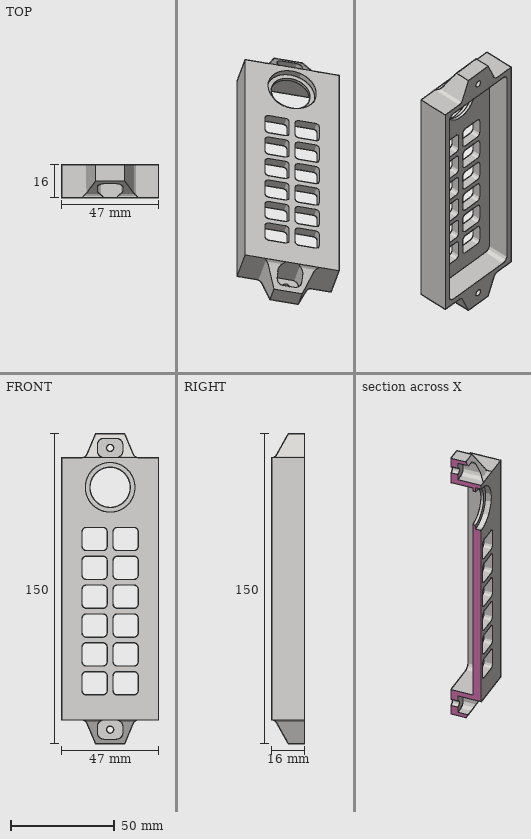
import cadquery as cq

total_height = 150.0
body_width = 47.0
body_depth = 16.0
body_height = 126.9

plate_thickness = 4.5
wall_thickness = 3.0
cavity_corner_radius = 3.0

opening_z = 49.0
opening_diameter = 19.4
opening_recess_diameter = 24.0
opening_recess_depth = 3.0

window_width = 12.0
window_height = 11.1
window_corner_radius = 2.0
window_columns = 2
window_rows = 6
window_pitch_x = 15.0
window_pitch_z = 14.0
window_grid_center_z = -10.8

tab_tip_width = 14.1
tab_base_width = 23.8
tab_tip_depth = 8.0
tab_base_depth = 14.4
tab_root_radius = 2.5
screw_hole_diameter = 3.3
screw_pocket_width = 12.3
screw_pocket_height = 9.3
screw_pocket_corner_radius = 3.2
screw_floor_thickness = 3.8

front_y = -body_depth / 2
back_y = body_depth / 2
body_end_z = body_height / 2
tab_length = (total_height - body_height) / 2
tab_tip_z = total_height / 2
screw_z = body_end_z + screw_pocket_height / 2


def plane_at(y):
    """XZ plane at the given Y whose extrusions run towards +Y."""
    return cq.Plane(origin=(0, y, 0), xDir=(-1, 0, 0), normal=(0, 1, 0))


def rounded_prism(width, height, radius, x, z, y_start, y_end):
    """Block along Y with its four long edges rounded."""
    return (
        cq.Workplane(plane_at(y_start))
        .center(-x, z)
        .rect(width, height)
        .extrude(y_end - y_start)
        .edges("|Y")
        .fillet(radius)
    )


def cylinder(diameter, z, y_start, y_end):
    """Cylinder along Y on the centre line of the part."""
    return (
        cq.Workplane(plane_at(y_start))
        .center(0, z)
        .circle(diameter / 2)
        .extrude(y_end - y_start)
    )


def make_tab():
    """Upper tab: a trapezoid seen from the front, with a sloped front face."""
    outline = (
        cq.Workplane(plane_at(front_y))
        .polyline([
            (-tab_base_width / 2, body_end_z),
            (tab_base_width / 2, body_end_z),
            (tab_tip_width / 2, tab_tip_z),
            (-tab_tip_width / 2, tab_tip_z),
        ])
        .close()
        .extrude(body_depth)
    )
    side_profile = (
        cq.Workplane("YZ")
        .polyline([
            (back_y, body_end_z),
            (back_y - tab_base_depth, body_end_z),
            (back_y - tab_tip_depth, tab_tip_z),
            (back_y, tab_tip_z),
        ])
        .close()
        .extrude(tab_base_width / 2, both=True)
    )
    return outline.intersect(side_profile)


def make_body_with_tabs():
    body = cq.Workplane("XY").box(body_width, body_depth, body_height)
    upper_tab = make_tab()
    body = body.union(upper_tab).union(upper_tab.mirror("XY"))

    margin = 0.2
    for end_z in (-body_end_z, body_end_z):
        root_edges = cq.selectors.BoxSelector(
            (-tab_base_width / 2 - margin, front_y + margin, end_z - margin),
            (tab_base_width / 2 + margin, back_y - margin, end_z + margin),
        )
        body = body.edges(root_edges).fillet(tab_root_radius)
    return body


def cut_screw_seats(part):
    """Recess and through hole in each tab."""
    floor_y = back_y - screw_floor_thickness
    for z in (-screw_z, screw_z):
        pocket = rounded_prism(
            screw_pocket_width, screw_pocket_height, screw_pocket_corner_radius,
            0, z, front_y, floor_y,
        )
        part = part.cut(pocket).cut(cylinder(screw_hole_diameter, z, front_y, back_y))
    return part


def cut_cavity(part):
    cavity = rounded_prism(
        body_width - 2 * wall_thickness, body_height - 2 * wall_thickness, cavity_corner_radius,
        0, 0, front_y + plate_thickness, back_y,
    )
    return part.cut(cavity)


def cut_opening(part):
    through_hole = cylinder(opening_diameter, opening_z, front_y, back_y)
    recess = cylinder(opening_recess_diameter, opening_z, front_y, front_y + opening_recess_depth)
    return part.cut(through_hole).cut(recess)


def cut_windows(part):
    for column in range(window_columns):
        x = (column - (window_columns - 1) / 2) * window_pitch_x
        for row in range(window_rows):
            z = window_grid_center_z + (row - (window_rows - 1) / 2) * window_pitch_z
            window = rounded_prism(
                window_width, window_height, window_corner_radius,
                x, z, front_y, front_y + plate_thickness,
            )
            part = part.cut(window)
    return part


result = make_body_with_tabs()
result = cut_cavity(result)
result = cut_screw_seats(result)
result = cut_opening(result)
result = cut_windows(result)